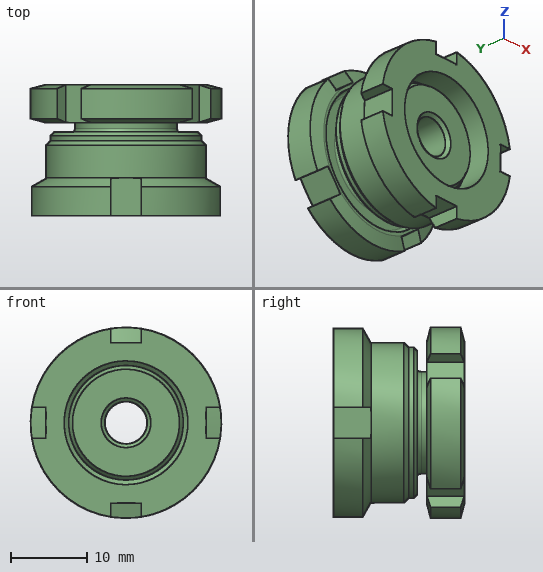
import cadquery as cq
import math

TOTAL_LENGTH = 17.2
FLANGE_RADIUS = 12.5

SLOT_COUNT = 4
SLOT_WIDTH = 4.0
SLOT_FLOOR = 10.5

HOUSING_FLANGE_LENGTH = 5.0
FLANGE_CONE_ANGLE = 30.0
SLEEVE_RADIUS = SLOT_FLOOR
SHOULDER_START = 9.25
SHOULDER_CHAMFER = 0.6
TIP_RADIUS = 9.9
TIP_CHAMFER = 0.5
HOUSING_LENGTH = 11.0
COUNTERBORE_RADIUS = 8.1
COUNTERBORE_DEPTH = 4.0

SHANK_RADIUS = 7.5
SCREW_LENGTH = 15.0
SHANK_CHAMFER = 0.5
SHANK_CHAMFER_ANGLE = 30.0
NECK_RADIUS = 6.7
NECK_FRONT = 11.5
SCREW_FLANGE_THICKNESS = 5.0
SCREW_FACE_RADIUS = SLOT_FLOOR
SCREW_CHAMFER_ANGLE = 15.0
SCREW_SLOT_TURN = 53.0
RECESS_RADIUS = 10.0
RECESS_DEPTH = 1.0
RECESS_FILLET = 0.6
HOLE_RADIUS = 2.75
HOLE_CHAMFER = 0.5


def turned(profile):
    """Revolve a closed (radius, Y) profile about the Y axis."""
    return profile.close().revolve(360, (0, 0, 0), (0, 1, 0))


def cut_slots(body, turn):
    """Cut the key slots; they run the full length, as no sleeve reaches past the slot floors."""
    for index in range(SLOT_COUNT):
        slot = cq.Workplane("XY").box(
            FLANGE_RADIUS, TOTAL_LENGTH, SLOT_WIDTH, centered=(False, False, True)
        )
        slot = slot.translate((SLOT_FLOOR, 0, 0))
        slot = slot.rotate((0, 0, 0), (0, 1, 0), turn + index * 360 / SLOT_COUNT)
        body = body.cut(slot)
    return body


def make_housing():
    cone_length = (FLANGE_RADIUS - SLEEVE_RADIUS) * math.tan(math.radians(FLANGE_CONE_ANGLE))
    bore_radius = SHANK_RADIUS
    counterbore_taper = COUNTERBORE_RADIUS - bore_radius
    profile = (
        cq.Workplane("XY")
        .moveTo(COUNTERBORE_RADIUS, 0)
        .lineTo(FLANGE_RADIUS, 0)
        .lineTo(FLANGE_RADIUS, HOUSING_FLANGE_LENGTH - cone_length)
        .lineTo(SLEEVE_RADIUS, HOUSING_FLANGE_LENGTH)
        .lineTo(SLEEVE_RADIUS, SHOULDER_START)
        .lineTo(TIP_RADIUS, SHOULDER_START + SHOULDER_CHAMFER)
        .lineTo(TIP_RADIUS, HOUSING_LENGTH - TIP_CHAMFER)
        .lineTo(TIP_RADIUS - TIP_CHAMFER, HOUSING_LENGTH)
        .lineTo(bore_radius, HOUSING_LENGTH)
        .lineTo(bore_radius, COUNTERBORE_DEPTH + counterbore_taper)
        .lineTo(COUNTERBORE_RADIUS, COUNTERBORE_DEPTH)
    )
    return cut_slots(turned(profile), 0)


def make_screw():
    flange_front = TOTAL_LENGTH - SCREW_FLANGE_THICKNESS
    flange_chamfer = (FLANGE_RADIUS - SCREW_FACE_RADIUS) * math.tan(math.radians(SCREW_CHAMFER_ANGLE))
    shank_front = TOTAL_LENGTH - SCREW_LENGTH
    recess_floor = flange_front + RECESS_DEPTH
    undercut_fillet = SHANK_RADIUS - NECK_RADIUS
    shank_chamfer_length = SHANK_CHAMFER / math.tan(math.radians(SHANK_CHAMFER_ANGLE))
    profile = (
        cq.Workplane("XY")
        .moveTo(HOLE_RADIUS + HOLE_CHAMFER, shank_front)
        .lineTo(SHANK_RADIUS - SHANK_CHAMFER, shank_front)
        .lineTo(SHANK_RADIUS, shank_front + shank_chamfer_length)
        .lineTo(SHANK_RADIUS, NECK_FRONT - undercut_fillet)
        .radiusArc((NECK_RADIUS, NECK_FRONT), undercut_fillet)
        .lineTo(NECK_RADIUS, recess_floor - RECESS_FILLET)
        .radiusArc((NECK_RADIUS + RECESS_FILLET, recess_floor), RECESS_FILLET)
        .lineTo(RECESS_RADIUS - RECESS_FILLET, recess_floor)
        .radiusArc((RECESS_RADIUS, recess_floor - RECESS_FILLET), RECESS_FILLET)
        .lineTo(RECESS_RADIUS, flange_front)
        .lineTo(SCREW_FACE_RADIUS, flange_front)
        .lineTo(FLANGE_RADIUS, flange_front + flange_chamfer)
        .lineTo(FLANGE_RADIUS, TOTAL_LENGTH - flange_chamfer)
        .lineTo(SCREW_FACE_RADIUS, TOTAL_LENGTH)
        .lineTo(HOLE_RADIUS, TOTAL_LENGTH)
        .lineTo(HOLE_RADIUS, shank_front + HOLE_CHAMFER)
    )
    return cut_slots(turned(profile).rotate((0, 0, 0), (0, 1, 0), SCREW_SLOT_TURN), SCREW_SLOT_TURN)


housing = make_housing()
screw = make_screw()
result = cq.Compound.makeCompound([housing.val(), screw.val()])